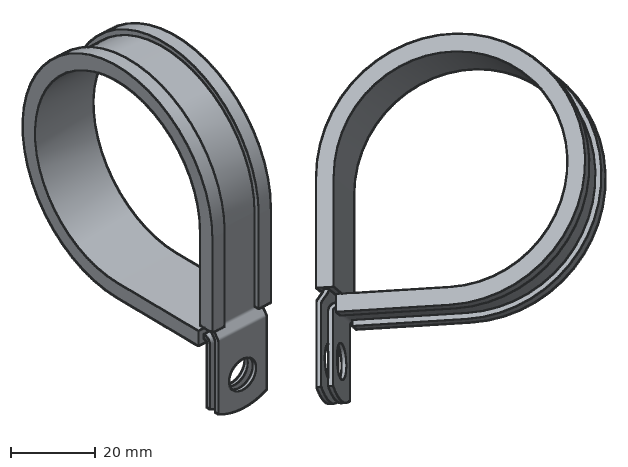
import cadquery as cq
import math

overall_height = 85.15
cushion_width = 18.9
outer_radius = 32.9
cushion_thickness = 4.35
inner_radius = outer_radius - cushion_thickness
side_leg_end_z = -26.7
bottom_leg_end_x = 28.0

groove_width = 11.0
groove_depth = 1.45

strap_thickness = 1.2
strap_width = 15.7
strap_outer = outer_radius - groove_depth
strap_inner = strap_outer - strap_thickness
strap_embed = 0.85
outer_tab_x = 33.2
inner_tab_x = 30.3
bend_inner_radius = 0.8
bend_outer_radius = bend_inner_radius + strap_thickness
tab_bottom_z = outer_radius - overall_height

jog_lead = 0.4
jog_height = 2.4
jog_shift = outer_tab_x - strap_outer
jog_bend_radius = 1.3

hole_diameter = 8.7
hole_z = tab_bottom_z + 9.6
tab_end_sagitta = 1.9
tab_end_radius = ((strap_width / 2) ** 2 + tab_end_sagitta**2) / (2 * tab_end_sagitta)


def extrude_centred(profile, width):
    """Extrude an XZ profile symmetrically about the plane Y = 0."""
    return profile.extrude(width / 2, both=True)


def loop_band(inner, outer, width):
    """Three-quarter ring with its straight legs, between two radii."""
    profile = (
        cq.Workplane("XZ")
        .moveTo(outer, side_leg_end_z)
        .lineTo(outer, 0)
        .threePointArc((-outer * math.sqrt(0.5), outer * math.sqrt(0.5)), (0, -outer))
        .lineTo(bottom_leg_end_x, -outer)
        .lineTo(bottom_leg_end_x, -inner)
        .lineTo(0, -inner)
        .threePointArc((-inner * math.sqrt(0.5), inner * math.sqrt(0.5)), (inner, 0))
        .lineTo(inner, side_leg_end_z)
        .close()
    )
    return extrude_centred(profile, width)


def inner_tab():
    """Strap end leaving the horizontal leg and bending straight down."""
    start_x = bottom_leg_end_x - strap_embed
    bend_x = inner_tab_x - bend_outer_radius
    bend_z = -strap_inner - bend_outer_radius
    profile = (
        cq.Workplane("XZ")
        .moveTo(start_x, -strap_inner)
        .lineTo(bend_x, -strap_inner)
        .radiusArc((inner_tab_x, bend_z), bend_outer_radius)
        .lineTo(inner_tab_x, tab_bottom_z)
        .lineTo(inner_tab_x - strap_thickness, tab_bottom_z)
        .lineTo(inner_tab_x - strap_thickness, bend_z)
        .radiusArc((bend_x, -strap_outer), -bend_inner_radius)
        .lineTo(start_x, -strap_outer)
        .close()
    )
    return extrude_centred(profile, strap_width)


def outer_tab():
    """Strap end leaving the vertical leg and jogging outward."""
    jog_top_z = side_leg_end_z - jog_lead
    jog_bottom_z = jog_top_z - jog_height
    slope_length = math.hypot(jog_shift, jog_height)
    inside_drop = strap_thickness * (slope_length - jog_height) / jog_shift
    profile = (
        cq.Workplane("XZ")
        .moveTo(strap_outer, side_leg_end_z + strap_embed)
        .lineTo(strap_outer, jog_top_z)
        .lineTo(outer_tab_x, jog_bottom_z)
        .lineTo(outer_tab_x, tab_bottom_z)
        .lineTo(outer_tab_x - strap_thickness, tab_bottom_z)
        .lineTo(outer_tab_x - strap_thickness, jog_bottom_z - inside_drop)
        .lineTo(strap_inner, jog_top_z - inside_drop)
        .lineTo(strap_inner, side_leg_end_z + strap_embed)
        .close()
    )
    tab = extrude_centred(profile, strap_width)
    bend_box = cq.selectors.BoxSelector(
        (strap_inner - strap_thickness, -strap_width, jog_bottom_z - strap_thickness),
        (outer_tab_x + strap_thickness, strap_width, side_leg_end_z),
    )
    return tab.edges("|Y").edges(bend_box).fillet(jog_bend_radius)


def tab_outline():
    """Block along X that rounds the lower edge and holds the bolt hole."""
    half_width = strap_width / 2
    corner_z = tab_bottom_z + tab_end_sagitta
    return (
        cq.Workplane("YZ")
        .moveTo(-half_width, 0)
        .lineTo(-half_width, corner_z)
        .radiusArc((half_width, corner_z), -tab_end_radius)
        .lineTo(half_width, 0)
        .close()
        .moveTo(0, hole_z)
        .circle(hole_diameter / 2)
        .extrude(overall_height)
    )


cushion = loop_band(inner_radius, outer_radius, cushion_width)
groove = loop_band(strap_outer, outer_radius, groove_width)
tabs = inner_tab().union(outer_tab()).intersect(tab_outline())

result = cushion.cut(groove).union(tabs)